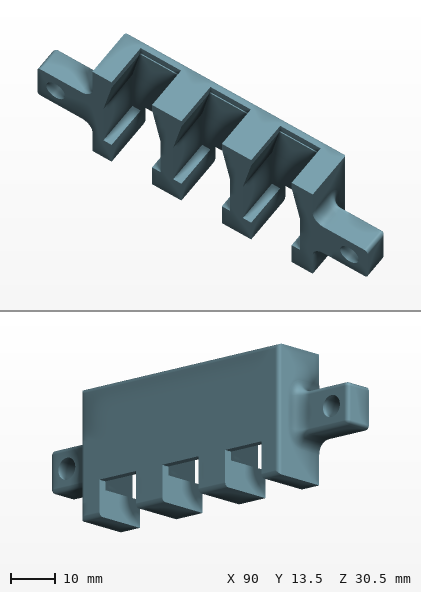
import cadquery as cq


body_length = 60.0
body_depth = 13.51
body_height = 30.45
body_top = body_height / 2
body_bottom = -body_height / 2
edge_radius = 1.0

overall_length = 90.0
ear_height = 10.0
ear_depth = 7.0
ear_root_radius = 3.0
hole_diameter = 5.1
hole_spacing = 80.0

bay_count = 3
bay_pitch = 19.0
bay_row_offset = -0.25

mouth_width = 11.0
mouth_height = 2.0
flare_height = 10.0
pocket_width = 15.5
pocket_height = 12.0
mouth_wall = 2.0
flare_wall = 2.25
pocket_wall = 2.0
mouth_bottom = body_top - mouth_height
flare_bottom = mouth_bottom - flare_height
pocket_floor = flare_bottom - pocket_height

slot_height = 8.5

cut_margin = 1.0


def make_body():
    body = cq.Workplane("XY").box(body_length, body_depth, body_height, centered=(True, False, True))
    return body.faces(">Y").edges().fillet(edge_radius)


def add_ears(body):
    ears = cq.Workplane("XY").box(overall_length, ear_depth, ear_height, centered=(True, False, True))
    ears = ears.edges("not <Y").fillet(edge_radius)
    joined = body.union(ears)
    half_length = body_length / 2
    tolerance = 0.01
    for side in (-1, 1):
        selector = cq.selectors.BoxSelector(
            (side * half_length - tolerance, tolerance, -ear_height),
            (side * half_length + tolerance, ear_depth + tolerance, ear_height),
        )
        joined = joined.edges(selector).fillet(ear_root_radius)
    return joined


def drill_holes(solid):
    drill = (
        cq.Workplane("XZ", origin=(0, body_depth, 0))
        .pushPoints([(-hole_spacing / 2, 0), (hole_spacing / 2, 0)])
        .circle(hole_diameter / 2)
        .extrude(body_depth)
    )
    return solid.cut(drill)


def prism(width, back_y, bottom, top):
    """Block centred on X = 0, reaching from just ahead of the front face back to back_y."""
    block = cq.Workplane("XY").box(width, back_y + cut_margin, top - bottom, centered=(True, False, False))
    return block.translate((0, -cut_margin, bottom))


def bay_cutter():
    mouth_back = body_depth - mouth_wall
    pocket_back = body_depth - pocket_wall
    flare_reach = body_depth - flare_wall + cut_margin
    pocket_reach = pocket_back + cut_margin
    mouth = prism(mouth_width, mouth_back, mouth_bottom, body_top + cut_margin)
    pocket = prism(pocket_width, pocket_back, pocket_floor, flare_bottom)
    slot = prism(mouth_width, body_depth + cut_margin, body_bottom - cut_margin, body_bottom + slot_height)
    flare = (
        cq.Workplane("XY", origin=(0, -cut_margin, flare_bottom))
        .center(0, pocket_reach / 2)
        .rect(pocket_width, pocket_reach)
        .workplane(offset=flare_height)
        .center(0, (flare_reach - pocket_reach) / 2)
        .rect(mouth_width, flare_reach)
        .loft(ruled=True)
    )
    return mouth.union(flare).union(pocket).union(slot)


def cut_bays(solid):
    cutter = bay_cutter()
    for index in range(bay_count):
        bay_x = bay_row_offset + (index - (bay_count - 1) / 2) * bay_pitch
        solid = solid.cut(cutter.translate((bay_x, 0, 0)))
    return solid


result = cut_bays(drill_holes(add_ears(make_body())))